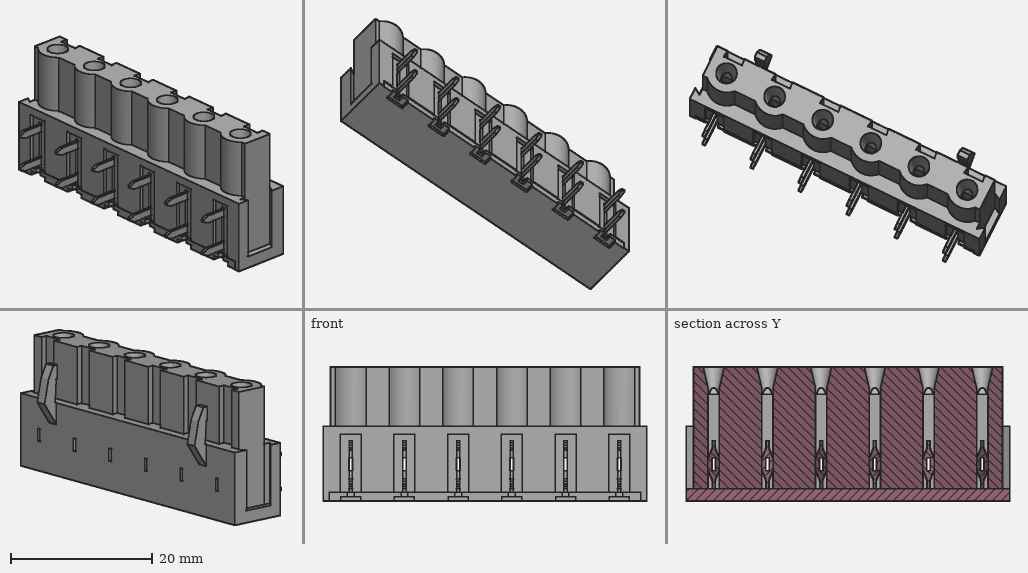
import cadquery as cq

POLE_COUNT = 6
POLE_PITCH = 7.6
POLE_XS = [(index - (POLE_COUNT - 1) / 2) * POLE_PITCH for index in range(POLE_COUNT)]

HOUSING_LENGTH = 45.8
HOUSING_DEPTH = 8.55
HOUSING_HEIGHT = 10.65
FLOOR_THICKNESS = 1.8

PLUG_LENGTH = 43.8
PLUG_FRONT_Y = 2.1
PLUG_BACK_Y = 6.9
PLUG_TOP_Z = 19.0
PLUG_HEIGHT = PLUG_TOP_Z - FLOOR_THICKNESS
BOSS_RADIUS = 2.95
BOSS_FRONT_Y = 1.15
BOSS_AXIS_Y = BOSS_FRONT_Y + BOSS_RADIUS

DOVETAIL_NECK_WIDTH = 2.6
DOVETAIL_BASE_WIDTH = 2.95
DOVETAIL_DEPTH = 1.0

ENTRY_Y = 3.9
ENTRY_MOUTH_DIAMETER = 3.0
ENTRY_END_DIAMETER = 1.6
ENTRY_END_Z = 16.05
FUNNEL_END_Z = 15.1

END_OPENING_FRONT_Y = 1.8
END_OPENING_BACK_Y = 6.35

FOOT_RECESS_HEIGHT = 1.3
FOOT_RECESS_DEPTH = 0.1
FOOT_END_MARGIN = 0.85
POCKET_WIDTH = 3.0
POCKET_TOP_Z = 9.45
POCKET_DEPTH = 0.5
NECK_WIDTH = 0.95
NECK_DEPTH = 0.9
GROOVE_WIDTH = 2.85
GROOVE_HEIGHT = 0.6
GROOVE_DEPTH = 1.37

PRONG_THICKNESS = 0.45
PRONG_HEIGHT = 1.1
PRONG_TIP_HEIGHT = 0.35
PRONG_TIP_Y = -3.45
PRONG_TAPER_START_Y = -2.6
PRONG_ZS = [2.6, 7.75]
CONTACT_TOP_Z = 8.55
CONTACT_Y = 3.8
CONTACT_DEPTH = 0.75
CONTACT_EYE_WIDTH = 1.55
CONTACT_FRONT_Y = CONTACT_Y - CONTACT_DEPTH / 2
CONTACT_BACK_Y = CONTACT_Y + CONTACT_DEPTH / 2
WINDOW_BOTTOM_Z = 4.3
WINDOW_TOP_Z = 6.15
EYE_SLOPE_HEIGHT = 1.37

LATCH_OFFSET = 16.05
LATCH_WIDTH = 1.55
LATCH_ROOT_Z = 7.45
LATCH_TOP_Z = 16.17
LATCH_INNER_Y = 8.4
LATCH_TOP_OUTER_Y = 9.15
LATCH_BEND_Y = 10.1
LATCH_BEND_Z = 14.3
LATCH_HOOK_Y = 10.8
LATCH_HOOK_Z = 10.8
LATCH_STEP_BOTTOM_Y = 8.6
LATCH_STEP_TOP_Z = 14.4
LATCH_STEP_BOTTOM_Z = 14.0
LATCH_GAP_Y = 8.8


def block(x_range, y_range, z_range):
    """Box spanning the given (low, high) ranges."""
    sizes = [high - low for low, high in (x_range, y_range, z_range)]
    corner = (x_range[0], y_range[0], z_range[0])
    return cq.Workplane("XY").box(*sizes, centered=False).translate(corner)


def centered_block(x, width, y_range, z_range):
    """Box of the given width, centred on x."""
    return block((x - width / 2, x + width / 2), y_range, z_range)


def extrude_along_x(points, x, width):
    """Prism of a (y, z) outline, centred on x."""
    return cq.Workplane("YZ").polyline(points).close().extrude(width / 2, both=True).translate((x, 0, 0))


def dovetail(x):
    neck = DOVETAIL_NECK_WIDTH / 2
    base = DOVETAIL_BASE_WIDTH / 2
    base_y = PLUG_BACK_Y - DOVETAIL_DEPTH
    points = [
        (x - neck, PLUG_BACK_Y),
        (x - base, base_y),
        (x + base, base_y),
        (x + neck, PLUG_BACK_Y),
    ]
    return cq.Workplane("XY").workplane(offset=FLOOR_THICKNESS).polyline(points).close().extrude(PLUG_HEIGHT)


def plug_envelope():
    """Outer shape of the plug, which is also the shape of the housing cavity."""
    half_length = PLUG_LENGTH / 2
    plug_z = (FLOOR_THICKNESS, PLUG_TOP_Z)
    shape = block((-half_length, half_length), (PLUG_FRONT_Y, PLUG_BACK_Y), plug_z)
    bosses = (
        cq.Workplane("XY")
        .workplane(offset=FLOOR_THICKNESS)
        .pushPoints([(x, BOSS_AXIS_Y) for x in POLE_XS])
        .circle(BOSS_RADIUS)
        .extrude(PLUG_HEIGHT)
    )
    front_half = block((-half_length, half_length), (BOSS_FRONT_Y, BOSS_AXIS_Y), plug_z)
    shape = shape.union(bosses.intersect(front_half))
    for x in POLE_XS:
        shape = shape.cut(dovetail(x))
    return shape


def wire_entry(x):
    """Cone, then a wedge that closes the round bore down to the contact slot."""
    cone = cq.Workplane(
        cq.Solid.makeCone(
            ENTRY_END_DIAMETER / 2,
            ENTRY_MOUTH_DIAMETER / 2,
            PLUG_TOP_Z - ENTRY_END_Z,
            pnt=cq.Vector(x, ENTRY_Y, ENTRY_END_Z),
        )
    )
    bore_radius = ENTRY_END_DIAMETER / 2
    bore = (
        cq.Workplane("XY")
        .workplane(offset=FUNNEL_END_Z)
        .center(x, ENTRY_Y)
        .circle(bore_radius)
        .extrude(ENTRY_END_Z - FUNNEL_END_Z)
    )
    wedge_outline = [
        (CONTACT_FRONT_Y, FUNNEL_END_Z),
        (CONTACT_BACK_Y, FUNNEL_END_Z),
        (ENTRY_Y + bore_radius, ENTRY_END_Z),
        (ENTRY_Y - bore_radius, ENTRY_END_Z),
    ]
    wedge = extrude_along_x(wedge_outline, x, ENTRY_END_DIAMETER)
    return cone.union(bore.intersect(wedge))


def contact_slot(x):
    return centered_block(
        x, CONTACT_EYE_WIDTH, (CONTACT_FRONT_Y, CONTACT_BACK_Y), (FLOOR_THICKNESS, FUNNEL_END_Z)
    )


def prong_slot(x):
    """Slot that takes both prongs, from the front face to the contact."""
    return centered_block(x, PRONG_THICKNESS, (0, CONTACT_FRONT_Y), (FOOT_RECESS_HEIGHT, CONTACT_TOP_Z))


def sight_window(x):
    """Opening behind the eye of the contact, out through the back face."""
    return centered_block(
        x, PRONG_THICKNESS, (CONTACT_BACK_Y, HOUSING_DEPTH), (WINDOW_BOTTOM_Z, WINDOW_TOP_Z)
    )


def make_plug():
    plug = plug_envelope()
    for x in POLE_XS:
        for opening in (wire_entry(x), contact_slot(x), prong_slot(x), sight_window(x)):
            plug = plug.cut(opening)
    return plug


def end_opening(side):
    """Tapered opening in an end wall; side is -1 or 1."""
    inner_x = side * PLUG_LENGTH / 2
    outer_x = side * HOUSING_LENGTH / 2
    points = [
        (inner_x, BOSS_FRONT_Y),
        (outer_x, END_OPENING_FRONT_Y),
        (outer_x, END_OPENING_BACK_Y),
        (inner_x, PLUG_BACK_Y),
    ]
    return (
        cq.Workplane("XY")
        .workplane(offset=FLOOR_THICKNESS)
        .polyline(points)
        .close()
        .extrude(HOUSING_HEIGHT - FLOOR_THICKNESS)
    )


def latch(x):
    points = [
        (HOUSING_DEPTH, LATCH_ROOT_Z),
        (LATCH_HOOK_Y, LATCH_HOOK_Z),
        (LATCH_BEND_Y, LATCH_BEND_Z),
        (LATCH_TOP_OUTER_Y, LATCH_TOP_Z),
        (LATCH_INNER_Y, LATCH_TOP_Z),
        (LATCH_INNER_Y, LATCH_STEP_TOP_Z),
        (LATCH_STEP_BOTTOM_Y, LATCH_STEP_BOTTOM_Z),
        (LATCH_GAP_Y, LATCH_HOOK_Z),
        (HOUSING_DEPTH, HOUSING_HEIGHT),
    ]
    return extrude_along_x(points, x, LATCH_WIDTH)


def make_housing():
    half_length = HOUSING_LENGTH / 2
    foot_half_length = half_length - FOOT_END_MARGIN
    housing = block((-half_length, half_length), (0, HOUSING_DEPTH), (0, HOUSING_HEIGHT))
    housing = housing.cut(plug_envelope())
    for side in (-1, 1):
        housing = housing.cut(end_opening(side))
        housing = housing.union(latch(side * LATCH_OFFSET))
    housing = housing.cut(
        block((-foot_half_length, foot_half_length), (0, FOOT_RECESS_DEPTH), (0, FOOT_RECESS_HEIGHT))
    )
    for x in POLE_XS:
        pocket = centered_block(x, POCKET_WIDTH, (0, POCKET_DEPTH), (FOOT_RECESS_HEIGHT, POCKET_TOP_Z))
        neck = centered_block(x, NECK_WIDTH, (0, NECK_DEPTH), (0, FOOT_RECESS_HEIGHT))
        groove = centered_block(x, GROOVE_WIDTH, (0, GROOVE_DEPTH), (0, GROOVE_HEIGHT))
        for opening in (pocket, neck, groove, prong_slot(x), sight_window(x)):
            housing = housing.cut(opening)
    return housing


def prong(z):
    half_height = PRONG_HEIGHT / 2
    half_tip = PRONG_TIP_HEIGHT / 2
    points = [
        (CONTACT_BACK_Y, z + half_height),
        (PRONG_TAPER_START_Y, z + half_height),
        (PRONG_TIP_Y, z + half_tip),
        (PRONG_TIP_Y, z - half_tip),
        (PRONG_TAPER_START_Y, z - half_height),
        (CONTACT_BACK_Y, z - half_height),
    ]
    return extrude_along_x(points, 0, PRONG_THICKNESS)


def make_contact(x):
    half_bar = PRONG_THICKNESS / 2
    half_eye = CONTACT_EYE_WIDTH / 2
    slope_bottom_z = WINDOW_BOTTOM_Z - EYE_SLOPE_HEIGHT
    slope_top_z = WINDOW_TOP_Z + EYE_SLOPE_HEIGHT
    bar_y = (CONTACT_FRONT_Y, CONTACT_BACK_Y)
    contact = centered_block(0, PRONG_THICKNESS, bar_y, (FLOOR_THICKNESS, CONTACT_TOP_Z))
    eye_outline = [
        (half_bar, slope_bottom_z),
        (half_eye, WINDOW_BOTTOM_Z),
        (half_eye, WINDOW_TOP_Z),
        (half_bar, slope_top_z),
        (-half_bar, slope_top_z),
        (-half_eye, WINDOW_TOP_Z),
        (-half_eye, WINDOW_BOTTOM_Z),
        (-half_bar, slope_bottom_z),
    ]
    eye = (
        cq.Workplane("XZ", origin=(0, CONTACT_BACK_Y, 0))
        .polyline(eye_outline)
        .close()
        .extrude(CONTACT_DEPTH)
    )
    window = centered_block(0, PRONG_THICKNESS, bar_y, (WINDOW_BOTTOM_Z, WINDOW_TOP_Z))
    contact = contact.union(eye).cut(window)
    for z in PRONG_ZS:
        contact = contact.union(prong(z))
    return contact.translate((x, 0, 0))


housing = make_housing()
plug = make_plug()
contacts = [make_contact(x) for x in POLE_XS]

bodies = [housing, plug, *contacts]

result = cq.Compound.makeCompound([body.solids().val() for body in bodies])